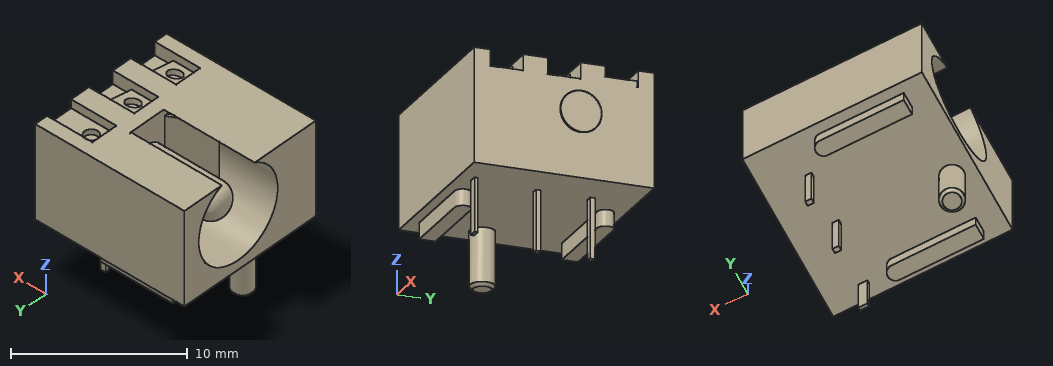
import cadquery as cq
import math

body_length = 11.5
body_width = 11.0
body_height = 7.0

axis_y = 1.0
axis_z = 4.0
bore_diameter = 6.6
bore_depth = 7.0
pin_diameter = 2.5
pin_start = 1.0
pin_nose_radius = 1.0
pin_rear_projection = 0.1

spring_height = 5.0
spring_thickness = 0.2
spring_wall_y = -1.95
spring_tip_y = -0.45
spring_angle = 28.0

pocket_width = 2.0
pocket_length = 3.5
pocket_pitch = 3.5
pocket_depth = 1.0
seat_clearance = 0.05
flat_seat_depth = 0.65
tilted_seat_depth = 0.25
tilted_seat_length = 2.0
seat_tilt = 10.0
dimple_diameter = 1.0
dimple_depth = 0.4
dimple_from_wall = 1.03
pocket_start = body_length - pocket_length
flat_seat_length = pocket_length - seat_clearance

rail_start = 1.5
rail_length = 5.9
rail_width = 1.0
rail_height = 1.0
rail_centers_y = (-4.35, 4.35)

peg_diameter = 1.5
peg_x = 1.5
peg_y = -1.0
peg_length = 3.5
peg_chamfer = 0.2

rear_terminal_x = 8.62
rear_terminal_size = (0.4, 0.3)
rear_terminal_length = 3.7
rear_terminal_centers_y = (-0.5, 2.8)
side_terminal_x = 9.02
side_terminal_y = -4.5
side_terminal_size = (0.6, 0.2)
side_terminal_length = 3.3


def box(x_range, y_range, z_range):
    """Axis-aligned block from its limits along each axis."""
    (x0, x1), (y0, y1), (z0, z1) = x_range, y_range, z_range
    return cq.Workplane("XY").box(x1 - x0, y1 - y0, z1 - z0, centered=False).translate((x0, y0, z0))


def cylinder_along_bore(diameter, start, end):
    """Cylinder on the bore axis between two X positions."""
    plane = cq.Workplane("YZ", origin=(start, axis_y, axis_z))
    return plane.circle(diameter / 2).extrude(end - start)


def make_pin():
    """Contact pin with a rounded nose, passing out through the rear wall."""
    pin = cylinder_along_bore(pin_diameter, pin_start, body_length + pin_rear_projection)
    return pin.faces("<X").edges().fillet(pin_nose_radius)


def make_spring():
    """Plate that leans from the bore wall toward the pin and meets the bore end."""
    lean = spring_tip_y - spring_wall_y
    start_x = bore_depth - lean / math.tan(math.radians(spring_angle))
    thickness_x = spring_thickness / math.sin(math.radians(spring_angle))
    outline = [
        (start_x, spring_wall_y),
        (bore_depth, spring_tip_y),
        (bore_depth + thickness_x, spring_tip_y),
        (start_x + thickness_x, spring_wall_y),
    ]
    base = cq.Workplane("XY", origin=(0, 0, axis_z - spring_height / 2))
    return base.polyline(outline).close().extrude(spring_height)


def make_pocket(center_y):
    """Rectangular pocket open to the top and the rear."""
    y_range = (center_y - pocket_width / 2, center_y + pocket_width / 2)
    return box((pocket_start, body_length), y_range, (body_height - pocket_depth, body_height))


def make_seat(center_y, length, high_depth, tilt):
    """Contact seat clear of the -X and +Y pocket walls, its top sloping down toward -Y."""
    low_y = center_y - pocket_width / 2
    high_y = center_y + pocket_width / 2 - seat_clearance
    bottom_z = body_height - pocket_depth
    high_z = body_height - high_depth
    low_z = high_z - (high_y - low_y) * math.tan(math.radians(tilt))
    outline = [(low_y, bottom_z), (high_y, bottom_z), (high_y, high_z), (low_y, low_z)]
    plane = cq.Workplane("YZ", origin=(pocket_start + seat_clearance, 0, 0))
    return plane.polyline(outline).close().extrude(length)


def make_dimple(center_y, high_depth, tilt):
    """Blind round hole square to the top of a seat, midway across it."""
    half_seat_width = (pocket_width - seat_clearance) / 2
    top_z = body_height - high_depth - half_seat_width * math.tan(math.radians(tilt))
    origin = (pocket_start + dimple_from_wall, center_y - seat_clearance / 2, top_z)
    normal = (0, -math.sin(math.radians(tilt)), math.cos(math.radians(tilt)))
    plane = cq.Plane(origin=origin, xDir=(1, 0, 0), normal=normal)
    return cq.Workplane(plane).circle(dimple_diameter / 2).extrude(dimple_depth, both=True)


def make_rail(center_y):
    """Support rail with a square front end and a round rear end."""
    half_width = rail_width / 2
    straight_end = rail_start + rail_length - half_width
    outline = (
        cq.Workplane("XY")
        .moveTo(rail_start, center_y - half_width)
        .lineTo(straight_end, center_y - half_width)
        .threePointArc((straight_end + half_width, center_y), (straight_end, center_y + half_width))
        .lineTo(rail_start, center_y + half_width)
        .close()
    )
    return outline.extrude(-rail_height)


def make_peg():
    """Locating peg with a chamfered tip."""
    peg = cq.Workplane("XY").center(peg_x, peg_y).circle(peg_diameter / 2).extrude(-peg_length)
    return peg.faces("<Z").edges().chamfer(peg_chamfer)


def make_terminal(x, y, size, length):
    """Straight flat terminal below the housing."""
    return cq.Workplane("XY").center(x, y).rect(*size).extrude(-length)


result = box((0, body_length), (-body_width / 2, body_width / 2), (0, body_height))
result = result.cut(cylinder_along_bore(bore_diameter, 0, bore_depth))
result = result.union(make_spring())
result = result.union(make_pin())

seats = [
    (pocket_pitch, flat_seat_length, flat_seat_depth, 0),
    (0, tilted_seat_length, tilted_seat_depth, seat_tilt),
    (-pocket_pitch, tilted_seat_length, tilted_seat_depth, seat_tilt),
]
for pocket_y, seat_length, seat_depth, tilt in seats:
    result = result.cut(make_pocket(pocket_y))
    result = result.union(make_seat(pocket_y, seat_length, seat_depth, tilt))
    result = result.cut(make_dimple(pocket_y, seat_depth, tilt))

for rail_y in rail_centers_y:
    result = result.union(make_rail(rail_y))
result = result.union(make_peg())
for terminal_y in rear_terminal_centers_y:
    terminal = make_terminal(rear_terminal_x, terminal_y, rear_terminal_size, rear_terminal_length)
    result = result.union(terminal)
side_terminal = make_terminal(side_terminal_x, side_terminal_y, side_terminal_size, side_terminal_length)
result = result.union(side_terminal)